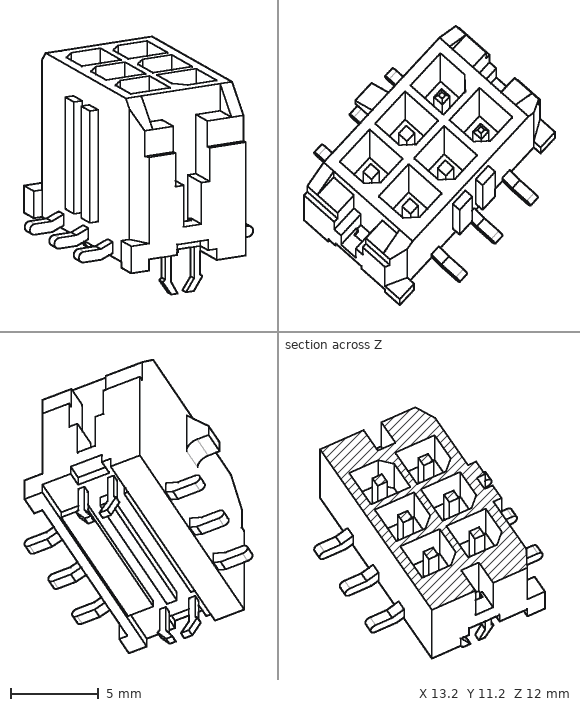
import cadquery as cq


width = 13.15
depth = 6.84
height = 9.9
half_width = width / 2
front = -depth / 2
back = depth / 2
crown_half_width = 4.9
ear_half_width = 6.3
ear_top = 8.28
ear_step = 6.76
front_gusset = 1.0
back_gusset = 0.78
flat_front_half_width = 5.35
corner_cut = 0.62

foot_height = 1.62
front_projection = 0.53
rib_width = 1.07
rib_spacing = 1.95
rib_top = ear_top

wide_slot_width = 2.18
wide_slot_floor = 4.76
narrow_slot_width = 1.13
narrow_slot_floor = 2.29
socket_depth = 0.4
socket_neck_width = 0.82
socket_neck_reach = 5.64
socket_head_reach = 5.3
window_width = 1.99
window_top = 1.29

back_wall = 1.87
front_wall = corner_cut
channel_height = 0.67
standoff_length = 8.42
standoff_bottom = 0.24
front_standoff = 1.62
back_standoff = 0.34
center_rib = 0.63

columns = 3
pitch = 3.0
cavity_size = 2.54
cavity_cut = 0.67
cavity_floor = narrow_slot_floor

pin_size = 0.65
pin_top = 6.84
tip_size = 0.29
tip_height = 0.4
tail_reach = 5.6
tail_bottom = -0.05
tail_top = tail_bottom + pin_size
tail_top_bend = 4.2
front_tail_bottom_bend = 4.15
back_tail_bottom_bend = 3.88
tail_slope = 0.4
tail_embed = 0.26

latch_width = 1.4
latch_projection = 1.41
latch_top = 9.35
latch_lip_top = 7.73
latch_lip_bottom = 6.95
latch_fillet = 0.67

clip_bottom = -2.06
clip_half_width = 1.13
clip_leg_thickness = 0.4
clip_embed = 0.26
barb_half_width = 1.28
barb_top = -1.1
barb_tip = -1.25
clip_bend = -1.3
tip_outer = 0.72
front_tip_inner = 0.32
back_tip_inner = 0.21

column_x = [(i - (columns - 1) / 2) * pitch for i in range(columns)]
row_y = [-pitch / 2, pitch / 2]
sides = (-1, 1)


def block(x, y, z):
    """Box spanning the given (start, end) pairs, in either order."""
    size = [abs(b - a) for a, b in (x, y, z)]
    low = [min(pair) for pair in (x, y, z)]
    return cq.Workplane("XY").box(*size, centered=False).translate(tuple(low))


def centered(size):
    return (-size / 2, size / 2)


def housing_shell():
    """Shouldered end-to-end profile carried through the housing depth."""
    right_edge = [
        (half_width, 0),
        (half_width, ear_step),
        (ear_half_width, ear_step),
        (ear_half_width, ear_top),
        (crown_half_width, height),
    ]
    left_edge = [(-x, z) for x, z in reversed(right_edge)]
    return cq.Workplane("XZ", origin=(0, back, 0)).polyline(right_edge + left_edge).close().extrude(depth)


def front_corner_cut(side):
    """Bevel of a front vertical corner, down to the top of the foot."""
    return (
        cq.Workplane("XY", origin=(0, 0, foot_height))
        .moveTo(side * half_width, front)
        .lineTo(side * half_width, front + corner_cut)
        .lineTo(side * flat_front_half_width, front)
        .close()
        .extrude(height)
    )


def end_slots(side):
    """Open space above the ears and the stepped slot between them."""
    reach = (side * crown_half_width, side * half_width)
    above_ears = block(reach, (front + front_gusset, back - back_gusset), (ear_top, height))
    wide = block(reach, centered(wide_slot_width), (wide_slot_floor, height))
    narrow = block(reach, centered(narrow_slot_width), (narrow_slot_floor, height))
    return above_ears.union(wide).union(narrow)


def slot_socket(side):
    """Blind T-shaped socket in the floor of the narrow slot."""
    inner = side * crown_half_width
    levels = (narrow_slot_floor - socket_depth, narrow_slot_floor)
    head = block((inner, side * socket_head_reach), centered(narrow_slot_width), levels)
    neck = block((inner, side * socket_neck_reach), centered(socket_neck_width), levels)
    return head.union(neck)


def clip_window(side):
    """Shallow opening low in the end wall, outboard of the board clip."""
    reach = (side * socket_neck_reach, side * half_width)
    return block(reach, centered(window_width), (0, window_top))


def cavity(x, y, key_side):
    """Contact cavity with one front corner cut off as a key."""
    half = cavity_size / 2
    return (
        cq.Workplane("XY", origin=(x, y, cavity_floor))
        .moveTo(-key_side * half, -half)
        .lineTo(-key_side * half, half)
        .lineTo(key_side * half, half)
        .lineTo(key_side * half, cavity_cut - half)
        .lineTo(key_side * (half - cavity_cut), -half)
        .close()
        .extrude(height - cavity_floor)
    )


def pin_tail(x, side, bottom_bend):
    """Contact tail that slopes out of the wall, levels off and ends round."""
    radius = pin_size / 2
    start = back - tail_embed
    top_start = tail_top + (tail_top_bend - start) * tail_slope
    bottom_start = tail_bottom + (bottom_bend - start) * tail_slope
    return (
        cq.Workplane("YZ", origin=(x - radius, 0, 0))
        .moveTo(side * start, bottom_start)
        .lineTo(side * bottom_bend, tail_bottom)
        .lineTo(side * (tail_reach - radius), tail_bottom)
        .threePointArc(
            (side * tail_reach, tail_bottom + radius),
            (side * (tail_reach - radius), tail_top),
        )
        .lineTo(side * tail_top_bend, tail_top)
        .lineTo(side * start, top_start)
        .close()
        .extrude(pin_size)
    )


def blunt_pin(x, y):
    length = pin_top - cavity_floor
    return cq.Workplane("XY", origin=(x, y, cavity_floor)).rect(pin_size, pin_size).extrude(length)


def pointed_pin(x, y):
    """Pin whose end tapers to a small square."""
    shoulder = pin_top - tip_height
    shank = (
        cq.Workplane("XY", origin=(x, y, cavity_floor))
        .rect(pin_size, pin_size)
        .extrude(shoulder - cavity_floor)
    )
    taper = (
        cq.Workplane("XY", origin=(x, y, shoulder))
        .rect(pin_size, pin_size)
        .workplane(offset=tip_height)
        .rect(tip_size, tip_size)
        .loft(ruled=True)
    )
    return shank.union(taper)


def latch():
    """Ramp on the back wall with a flat lip and a filleted underside."""
    fillet_run = latch_fillet * 0.5 ** 0.5
    return (
        cq.Workplane("YZ", origin=(-latch_width / 2, 0, 0))
        .moveTo(back, latch_top)
        .lineTo(back + latch_projection, latch_lip_top)
        .lineTo(back + latch_projection, latch_lip_bottom)
        .lineTo(back + latch_fillet, latch_lip_bottom)
        .threePointArc(
            (back + latch_fillet - fillet_run, latch_lip_bottom - latch_fillet + fillet_run),
            (back, latch_lip_bottom - latch_fillet),
        )
        .close()
        .extrude(latch_width)
    )


def barbed_leg(end, side, tip_inner):
    """Barbed leg of a board clip, bent inward at its lower end."""
    inner_face = clip_half_width - clip_leg_thickness
    outline = [
        (clip_half_width, channel_height + clip_embed),
        (clip_half_width, barb_top),
        (barb_half_width, barb_tip),
        (tip_outer, clip_bottom),
        (tip_inner, clip_bottom),
        (inner_face, clip_bend),
        (inner_face, channel_height + clip_embed),
    ]
    start = min(end * crown_half_width, end * flat_front_half_width)
    return (
        cq.Workplane("YZ", origin=(start, 0, 0))
        .polyline([(side * y, z) for y, z in outline])
        .close()
        .extrude(flat_front_half_width - crown_half_width)
    )


channel_front = front + front_wall
channel_back = back - back_wall
housing = housing_shell()
housing = housing.cut(block(centered(width), (channel_front, channel_back), (0, channel_height)))
for side in sides:
    housing = housing.cut(front_corner_cut(side))
    housing = housing.cut(end_slots(side))
    housing = housing.cut(slot_socket(side))
    housing = housing.cut(clip_window(side))

front_reach = (front - front_projection, front)
for side in sides:
    foot_x = (side * flat_front_half_width, side * half_width)
    rib_x = (side * (rib_spacing - rib_width) / 2, side * (rib_spacing + rib_width) / 2)
    housing = housing.union(block(foot_x, front_reach, (0, foot_height)))
    housing = housing.union(block(rib_x, front_reach, (foot_height, rib_top)))

standoff_x = centered(standoff_length)
standoff_z = (standoff_bottom, channel_height)
housing = housing.union(block(standoff_x, (channel_front, channel_front + front_standoff), standoff_z))
housing = housing.union(block(standoff_x, (channel_back - back_standoff, channel_back), standoff_z))
housing = housing.union(block(standoff_x, centered(center_rib), (0, channel_height)))
housing = housing.union(latch())

result = housing
for x in column_x:
    last_column = x == column_x[-1]
    for y in row_y:
        key_side = 1 if last_column and y == row_y[-1] else -1
        result = result.cut(cavity(x, y, key_side))
        result = result.union(pointed_pin(x, y) if last_column else blunt_pin(x, y))
    result = result.union(pin_tail(x, -1, front_tail_bottom_bend))
    result = result.union(pin_tail(x, 1, back_tail_bottom_bend))

for end in sides:
    result = result.union(barbed_leg(end, -1, front_tip_inner))
    result = result.union(barbed_leg(end, 1, back_tip_inner))